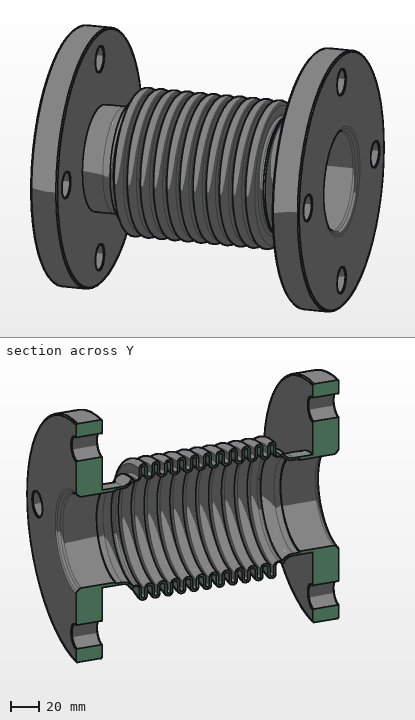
import cadquery as cq
import math

length = 200.0

flange_dia = 185.0
flange_thickness = 20.0
flange_chamfer = 1.0
bolt_circle_dia = 145.0
bolt_hole_dia = 18.0
bolt_hole_chamfer = 0.5
bolt_count = 4

bore_dia = 70.2
mouth_chamfer = 3.0
mouth_blend = 2.5

pipe_dia = 76.0
pipe_end = 30.0
sleeve_bore_dia = 72.0
flare_start = 35.0
flare_radius = 7.8
flare_angle = math.radians(68)

weld_end = 44.2
weld_bulge = 0.5

wave_count = 11
pitch = 9.8
crest_dia = 105.5
root_dia = 84.5
cuff_dia = 82.5
bellows_wall = 2.0
cuff_bore_dia = root_dia - 2 * bellows_wall
crest_bend = 3.2
root_bend = pitch / 2 - crest_bend
first_root = length / 2 - wave_count * pitch / 2


def revolve_about_x(profile):
    """Revolve a closed (x, radius) outline a full turn about the X axis."""
    return profile.close().revolve(360, (0, 0, 0), (1, 0, 0))


def polar_point(centre, radius, angle):
    """Point on a circle, with the angle in radians from the +X direction."""
    return (centre[0] + radius * math.cos(angle), centre[1] + radius * math.sin(angle))


def make_flange():
    disc = cq.Workplane("YZ").circle(flange_dia / 2).extrude(flange_thickness)
    disc = disc.edges().chamfer(flange_chamfer)
    holes = (
        cq.Workplane("YZ")
        .polarArray(bolt_circle_dia / 2, 0, 360, bolt_count)
        .circle(bolt_hole_dia / 2)
        .extrude(flange_thickness)
    )
    hole_rims = cq.selectors.RadiusNthSelector(0)
    return disc.cut(holes).edges("%CIRCLE").edges(hole_rims).chamfer(bolt_hole_chamfer)


def make_bore():
    """Solid that cuts the bore; both corners of the mouth chamfer are rounded."""
    bore_r = bore_dia / 2
    corner_setback = mouth_blend * math.tan(math.radians(22.5))
    mouth_size = mouth_chamfer + corner_setback
    face_centre = (mouth_blend, bore_r + mouth_size)
    bore_centre = (mouth_size, bore_r + mouth_blend)

    def blend_point(centre, degrees):
        return polar_point(centre, mouth_blend, math.radians(degrees))

    profile = (
        cq.Workplane("XY")
        .lineTo(0, bore_r + mouth_size)
        .threePointArc(blend_point(face_centre, 202.5), blend_point(face_centre, 225))
        .lineTo(*blend_point(bore_centre, 225))
        .threePointArc(blend_point(bore_centre, 247.5), blend_point(bore_centre, 270))
        .lineTo(pipe_end, bore_r)
        .lineTo(pipe_end, 0)
    )
    return revolve_about_x(profile)


def make_sleeve():
    """Thin sleeve continuing the pipe, flaring outwards and welded to the cuff."""
    flare_centre = (flare_start, pipe_dia / 2 + flare_radius)
    inside_radius = flare_centre[1] - sleeve_bore_dia / 2
    cuff_r = cuff_dia / 2
    cuff_bore_r = cuff_bore_dia / 2
    inside_angle = math.acos((flare_centre[1] - cuff_bore_r) / inside_radius)

    def on_flare(radius, angle):
        return polar_point(flare_centre, radius, angle - math.pi / 2)

    tip = on_flare(flare_radius, flare_angle)
    weld_slope = math.atan2(cuff_r - tip[1], weld_end - tip[0])
    weld_middle = ((tip[0] + weld_end) / 2, (tip[1] + cuff_r) / 2)
    weld_top = polar_point(weld_middle, weld_bulge, weld_slope + math.pi / 2)
    profile = (
        cq.Workplane("XY")
        .moveTo(pipe_end, pipe_dia / 2)
        .lineTo(flare_start, pipe_dia / 2)
        .threePointArc(on_flare(flare_radius, flare_angle / 2), tip)
        .threePointArc(weld_top, (weld_end, cuff_r))
        .lineTo(weld_end, cuff_bore_r)
        .lineTo(*on_flare(inside_radius, inside_angle))
        .threePointArc(on_flare(inside_radius, inside_angle / 2), on_flare(inside_radius, 0))
        .lineTo(pipe_end, sleeve_bore_dia / 2)
    )
    return revolve_about_x(profile)


def make_end():
    pipe = cq.Workplane("YZ").circle(pipe_dia / 2).extrude(pipe_end)
    return make_flange().union(pipe).cut(make_bore()).union(make_sleeve())


def wave_solid(inset, cuff_r):
    """Solid of revolution under the wavy bellows surface, moved inwards by inset.

    The outermost roots run into straight cuffs of radius cuff_r.
    """
    crest_r = crest_dia / 2 - inset
    root_r = root_dia / 2 - inset
    crest_arc = crest_bend - inset
    root_arc = root_bend + inset
    root_lean = root_arc * math.sqrt(0.5)
    last_wave = wave_count - 1

    profile = cq.Workplane("XY").moveTo(weld_end, 0)
    profile = profile.lineTo(weld_end, cuff_r).lineTo(first_root, cuff_r)
    for wave in range(wave_count):
        root = first_root + wave * pitch
        crest = root + pitch / 2
        next_root = root + pitch
        start_r = cuff_r if wave == 0 else root_r
        end_r = cuff_r if wave == last_wave else root_r
        profile = (
            profile
            .threePointArc(
                (root + root_lean, start_r + root_arc - root_lean),
                (root + root_arc, start_r + root_arc),
            )
            .lineTo(crest - crest_arc, crest_r - crest_arc)
            .threePointArc((crest, crest_r), (crest + crest_arc, crest_r - crest_arc))
            .lineTo(next_root - root_arc, end_r + root_arc)
            .threePointArc(
                (next_root - root_lean, end_r + root_arc - root_lean),
                (next_root, end_r),
            )
        )
    profile = profile.lineTo(length - weld_end, cuff_r).lineTo(length - weld_end, 0)
    return revolve_about_x(profile)


def make_bellows():
    outside = wave_solid(0, cuff_dia / 2)
    inside = wave_solid(bellows_wall, cuff_bore_dia / 2)
    return outside.cut(inside)


near_end = make_end()
far_end = near_end.mirror("YZ", (length / 2, 0, 0))
result = near_end.union(make_bellows()).union(far_end)